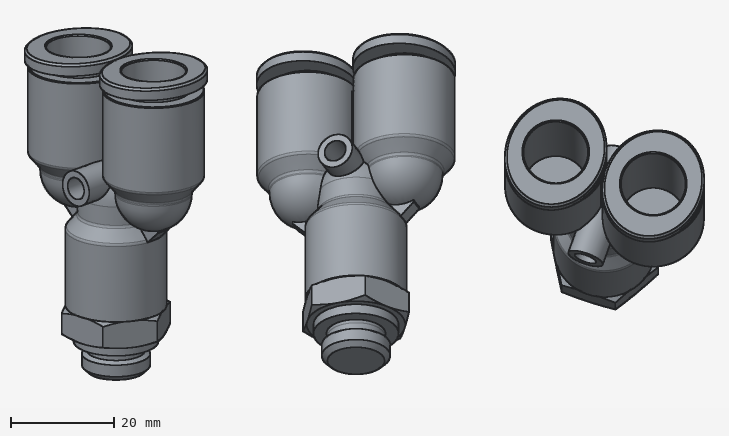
import cadquery as cq
import math

socket_spacing = 19.95
socket_radius = 9.85
socket_top = 60.35
socket_top_chamfer = 0.2
socket_cone_top = 42.5
bulb_radius = 7.5
bulb_center = 39.1

overall_height = 64.4
collar_half_width = 9.7
collar_half_depth = 11.2
collar_height = 2.4
collar_chamfer = 0.45
collar_neck_radius = 7.1
bore_radius = 6.25
bore_chamfer = 0.25
bore_bottom = socket_cone_top

cone_height = 2.85
cone_blend = 0.9

stem_radius = bulb_radius
stem_dome_center = 36.45
barrel_radius = socket_radius
barrel_bottom = 13.5
barrel_cone_bottom = 29.5

hex_across_corners = 22.0
hex_bottom = 8.0
hex_chamfer_height = 0.65
flange_radius = 8.25
flange_bottom = 6.0
groove_radius = 5.6
groove_top_radius = 5.7
groove_taper_start = 5.4
groove_bottom = 4.05
spigot_radius = 6.65
spigot_shoulder = 3.5
spigot_tip_chamfer = 1.1

boss_center = 40.5
boss_radius = 3.55
boss_hole_radius = 2.2
boss_length = 22.7

web_thickness = 3.1
web_top = 58.6
gusset_half_width = 12.55
gusset_foot = 29.25
gusset_top = 31.8


def cylinder(radius, bottom, top):
    return cq.Workplane("XY").workplane(offset=bottom).circle(radius).extrude(top - bottom)


def blend_cone(body, bottom):
    """Round the two circular edges at the ends of a cone that starts at the given height."""
    reach = 0.05
    span = 2 * socket_radius
    for height in (bottom, bottom + cone_height):
        zone = cq.selectors.BoxSelector(
            (-span, -span, height - reach),
            (span, span, height + reach),
            boundingbox=True,
        )
        body = body.edges(zone).fillet(cone_blend)
    return body


def make_socket():
    cone_bottom = socket_cone_top - cone_height
    socket = (
        cq.Workplane("XZ")
        .moveTo(0, bulb_center - bulb_radius)
        .radiusArc((bulb_radius, bulb_center), -bulb_radius)
        .lineTo(bulb_radius, cone_bottom)
        .lineTo(socket_radius, socket_cone_top)
        .lineTo(socket_radius, socket_top)
        .lineTo(0, socket_top)
        .close()
        .revolve(360, (0, 0), (0, 1))
    )
    socket = blend_cone(socket, cone_bottom)
    return socket.faces(">Z").edges().chamfer(socket_top_chamfer)


def make_collar():
    collar_bottom = overall_height - collar_height
    plate = (
        cq.Workplane("XY")
        .workplane(offset=collar_bottom)
        .ellipse(collar_half_width, collar_half_depth)
        .extrude(collar_height)
        .faces(">Z")
        .edges()
        .chamfer(collar_chamfer)
    )
    return plate.union(cylinder(collar_neck_radius, socket_cone_top, collar_bottom))


def make_bore():
    mouth_radius = bore_radius + bore_chamfer
    return (
        cq.Workplane("XZ")
        .moveTo(0, bore_bottom)
        .lineTo(bore_radius, bore_bottom)
        .lineTo(bore_radius, overall_height - bore_chamfer)
        .lineTo(mouth_radius, overall_height)
        .lineTo(0, overall_height)
        .close()
        .revolve(360, (0, 0), (0, 1))
    )


def make_stem():
    stem = (
        cq.Workplane("XZ")
        .moveTo(0, barrel_bottom)
        .lineTo(barrel_radius, barrel_bottom)
        .lineTo(barrel_radius, barrel_cone_bottom)
        .lineTo(stem_radius, barrel_cone_bottom + cone_height)
        .lineTo(stem_radius, stem_dome_center)
        .radiusArc((0, stem_dome_center + stem_radius), -stem_radius)
        .close()
        .revolve(360, (0, 0), (0, 1))
    )
    return blend_cone(stem, barrel_cone_bottom)


def make_hexagon():
    corner_radius = hex_across_corners / 2
    hex_end_radius = corner_radius * math.cos(math.pi / 6)
    prism = (
        cq.Workplane("XY")
        .workplane(offset=hex_bottom)
        .polygon(6, hex_across_corners)
        .extrude(barrel_bottom - hex_bottom)
    )
    corner_trim = cylinder(corner_radius, hex_bottom, barrel_bottom).edges().chamfer(
        hex_chamfer_height, corner_radius - hex_end_radius
    )
    return prism.intersect(corner_trim)


def make_spigot():
    return (
        cq.Workplane("XZ")
        .moveTo(0, 0)
        .lineTo(spigot_radius - spigot_tip_chamfer, 0)
        .lineTo(spigot_radius, spigot_tip_chamfer)
        .lineTo(spigot_radius, spigot_shoulder)
        .lineTo(groove_radius, groove_bottom)
        .lineTo(groove_radius, groove_taper_start)
        .lineTo(groove_top_radius, flange_bottom)
        .lineTo(flange_radius, flange_bottom)
        .lineTo(flange_radius, hex_bottom)
        .lineTo(0, hex_bottom)
        .close()
        .revolve(360, (0, 0), (0, 1))
    )


def make_webs():
    """Gussets from the bulbs down to the barrel, and the strip that closes the gap between sockets."""
    gussets = (
        cq.Workplane("XZ")
        .moveTo(-barrel_radius, gusset_foot)
        .lineTo(-gusset_half_width, gusset_top)
        .lineTo(-gusset_half_width, bulb_center)
        .lineTo(gusset_half_width, bulb_center)
        .lineTo(gusset_half_width, gusset_top)
        .lineTo(barrel_radius, gusset_foot)
        .close()
        .extrude(web_thickness / 2, both=True)
    )
    strip_width = socket_spacing - socket_radius
    strip = cq.Workplane("XY").workplane(offset=bulb_center).rect(strip_width, web_thickness)
    return gussets.union(strip.extrude(web_top - bulb_center))


def boss_cylinder(radius):
    profile = cq.Workplane("XZ").center(0, boss_center).circle(radius)
    return profile.extrude(boss_length / 2, both=True)


result = make_stem().union(make_hexagon()).union(make_spigot()).union(make_webs())

socket_places = [(-socket_spacing / 2, 0, 0), (socket_spacing / 2, 0, 0)]
for place in socket_places:
    result = result.union(make_socket().translate(place))
    result = result.union(make_collar().translate(place))

result = result.union(boss_cylinder(boss_radius))

for place in socket_places:
    result = result.cut(make_bore().translate(place))

result = result.cut(boss_cylinder(boss_hole_radius))